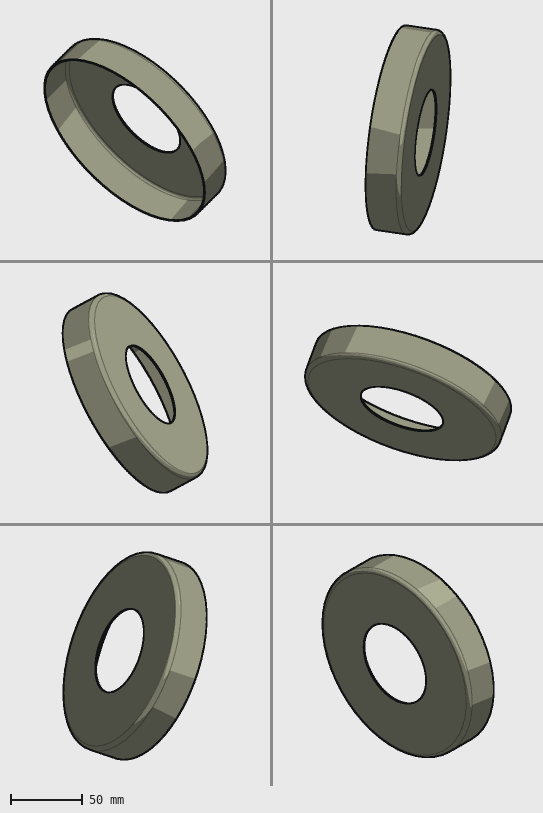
import cadquery as cq

outer_diameter = 145.0
depth = 25.0
sheet_thickness = 1.0
outer_bend_radius = 3.0
bore_diameter = 61.0

inner_diameter = outer_diameter - 2 * sheet_thickness
inner_bend_radius = outer_bend_radius - sheet_thickness

open_end_y = -depth / 2
closed_end_y = depth / 2
disc_inner_y = closed_end_y - sheet_thickness


def cylinder_along_y(diameter, end_y):
    """Solid cylinder on the Y axis from the open end to end_y."""
    start_plane = cq.Workplane("XZ", origin=(0, open_end_y, 0))
    return start_plane.circle(diameter / 2).extrude(open_end_y - end_y)


def rounded_plug(diameter, end_y, bend_radius):
    """Cylinder from the open end whose +Y rim is rounded."""
    return cylinder_along_y(diameter, end_y).faces(">Y").edges().fillet(bend_radius)


body = rounded_plug(outer_diameter, closed_end_y, outer_bend_radius)
cavity = rounded_plug(inner_diameter, disc_inner_y, inner_bend_radius)
bore = cylinder_along_y(bore_diameter, closed_end_y)

result = body.cut(cavity).cut(bore)